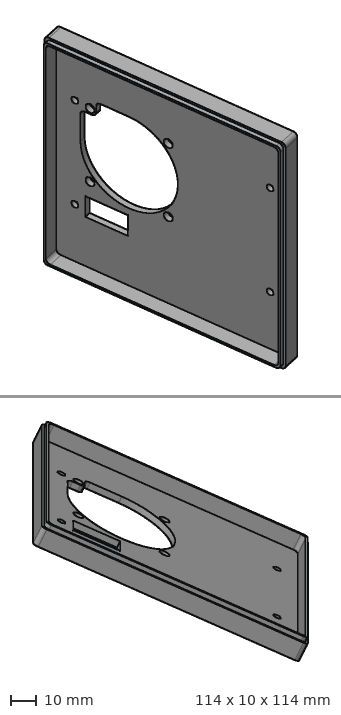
import cadquery as cq
import math

side = 114.0
depth = 10.0
lip_height = 2.0
lip_setback = 1.0
wall = 2.0
floor_thickness = 3.0
outer_radius = 2.0
pocket_radius = 2.0

fan_x = -20.5
fan_z = 7.1
fan_radius = 23.0
fan_hole_spacing = 36.9
fan_hole_diameter = 4.2
notch_width = 7.4
notch_corner_radius = 2.0

mount_spacing_x = 92.3
mount_spacing_z = 52.4
mount_hole_diameter = 3.2

window_x = -31.1
window_z = -25.0
window_width = 20.1
window_height = 10.4


def front_plane(y=0.0):
    """XZ sketch plane at the given Y; positive extrusion goes toward -Y."""
    return cq.Workplane("XZ", origin=(0, y, 0))


def rounded_square(size, radius, y_back, length):
    """Square block with rounded corners, running from y_back toward -Y."""
    return front_plane(y_back).rect(size, size).extrude(length).edges("|Y").fillet(radius)


def cover_shell():
    body = rounded_square(side, outer_radius, depth, depth - lip_height)
    lip = rounded_square(side - 2 * lip_setback, outer_radius, depth, depth)
    pocket_depth = depth - floor_thickness
    pocket = rounded_square(side - 2 * wall, pocket_radius, pocket_depth, pocket_depth)
    return body.union(lip).cut(pocket)


def fan_opening():
    """Three-quarter circle whose fourth quadrant is square with a notch cut from its corner."""
    left = fan_x - fan_radius
    top = fan_z + fan_radius
    diagonal = fan_radius * math.sqrt(0.5)
    prism = (
        front_plane(depth)
        .moveTo(fan_x, top)
        .threePointArc((fan_x + diagonal, fan_z - diagonal), (left, fan_z))
        .lineTo(left, top - notch_width)
        .lineTo(left + notch_width, top - notch_width)
        .lineTo(left + notch_width, top)
        .close()
        .extrude(depth)
    )
    margin = notch_corner_radius / 2
    notch_corners = cq.selectors.BoxSelector(
        (left - margin, -margin, top - notch_width - margin),
        (left + notch_width + margin, depth + margin, top + margin),
    )
    return prism.edges("|Y").edges(notch_corners).fillet(notch_corner_radius)


def hole_pattern(x, z, spacing_x, spacing_z, diameter):
    """Four through holes on the corners of a rectangle centred at (x, z)."""
    return (
        front_plane(depth)
        .center(x, z)
        .rarray(spacing_x, spacing_z, 2, 2)
        .circle(diameter / 2)
        .extrude(depth)
    )


def window():
    return front_plane(depth).center(window_x, window_z).rect(window_width, window_height).extrude(depth)


fan_holes = hole_pattern(fan_x, fan_z, fan_hole_spacing, fan_hole_spacing, fan_hole_diameter)
mount_holes = hole_pattern(0, 0, mount_spacing_x, mount_spacing_z, mount_hole_diameter)

result = cover_shell().cut(fan_opening()).cut(fan_holes).cut(mount_holes).cut(window())